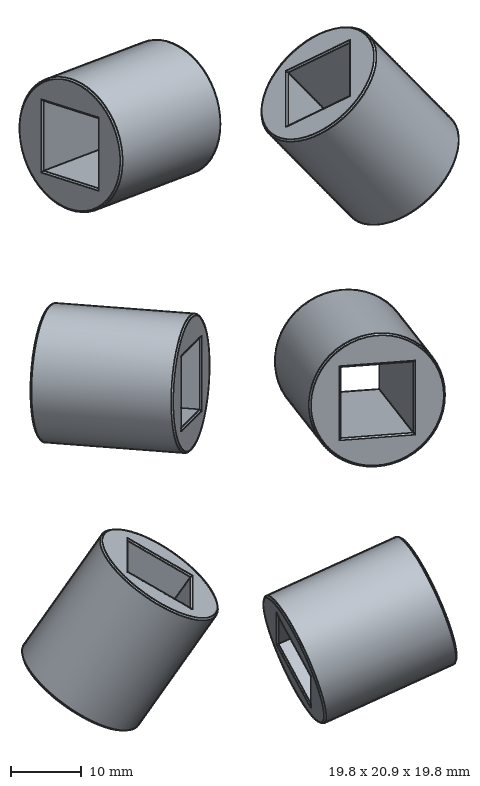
import cadquery as cq

length = 20.95
outer_diameter = 19.8
square_side = 10.55
edge_chamfer = 0.25

back_end = cq.Workplane("XZ", origin=(0, length / 2, 0))

sleeve = back_end.circle(outer_diameter / 2).extrude(length)

square_hole = back_end.rect(square_side, square_side).extrude(length)

result = sleeve.cut(square_hole).faces("<Y or >Y").edges().chamfer(edge_chamfer)